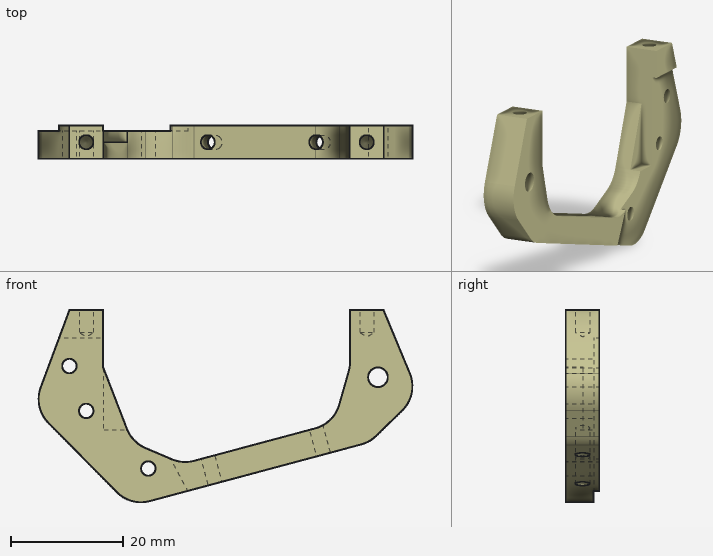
import cadquery as cq
import math


thickness = 6.0
mid_y = thickness / 2
arm_pitch = 50.0
arm_width = 6.0
arm_inner_x = (arm_pitch - arm_width) / 2
arm_outer_x = (arm_pitch + arm_width) / 2
corner_radius = 6.0
bar_angle = 15.0
bar_slope = math.tan(math.radians(bar_angle))

bend_z = -10.1
left_elbow = (-34.45, -17.4)
bottom_corner = (-17.05, -35.0)
lower_right_x = 25.5
lower_right_corner = (lower_right_x, bottom_corner[1] + bar_slope * (lower_right_x - bottom_corner[0]))
right_elbow = (34.25, -15.05)
right_bend = (arm_inner_x, bend_z)
inner_right_corner = (19.1, -20.2)
inner_bottom_x = -7.8
inner_bottom_corner = (
    inner_bottom_x,
    inner_right_corner[1] - bar_slope * (inner_right_corner[0] - inner_bottom_x),
)
inner_left_corner = (-16.8, -23.6)
left_bend = (-arm_inner_x, bend_z)

recess_depth = 1.0
recess_top_z = -5.0
step_upper_end = (-9.9, -26.6)
step_lower_end = (-6.9, -32.25)

notch_floor_z = -21.3

screw_diameter = 2.5
screw_depth = 4.0
drill_point_angle = 118.0
plate_holes = [(-28.0, -10.0), (-25.0, -18.0), (-13.9, -28.25)]
pivot_diameter = 3.45
pivot_center = (27.0, -12.0)
bar_hole_start_x = -3.3
bar_hole_spacing = 20.0

margin = 6.65


def extrude_outline(points, y_start, y_end):
    """Solid with an (x, z) outline, reaching from y_start to y_end."""
    plane = cq.Plane(origin=(0, y_start, 0), xDir=(1, 0, 0), normal=(0, -1, 0))
    return cq.Workplane(plane).polyline(points).close().extrude(y_start - y_end)


def rounded(body, corner):
    """Round the front-to-back edge that stands on an (x, z) corner."""
    point = (corner[0], mid_y, corner[1])
    return body.edges(cq.selectors.NearestToPointSelector(point)).fillet(corner_radius)


def make_plate():
    outline = [
        (-arm_outer_x, 0),
        left_elbow,
        bottom_corner,
        lower_right_corner,
        right_elbow,
        (arm_outer_x, 0),
        (arm_inner_x, 0),
        right_bend,
        inner_right_corner,
        inner_bottom_corner,
        inner_left_corner,
        left_bend,
        (-arm_inner_x, 0),
    ]
    plate = extrude_outline(outline, 0, thickness)
    rounded_corners = [
        left_elbow,
        bottom_corner,
        lower_right_corner,
        right_elbow,
        right_bend,
        inner_right_corner,
        inner_bottom_corner,
        inner_left_corner,
    ]
    for corner in rounded_corners:
        plate = rounded(plate, corner)
    return plate


def make_recess():
    """Shallow cut over the back of the left arm, from below its top to the bar step."""
    left_x = left_elbow[0] - margin
    bottom_z = bottom_corner[1] - margin
    step_lean = (step_lower_end[0] - step_upper_end[0]) / (step_upper_end[1] - step_lower_end[1])

    def step_x(z):
        return step_upper_end[0] + step_lean * (step_upper_end[1] - z)

    outline = [
        (left_x, recess_top_z),
        (step_x(recess_top_z), recess_top_z),
        (step_x(bottom_z), bottom_z),
        (left_x, bottom_z),
    ]
    return extrude_outline(outline, thickness - recess_depth, thickness + margin)


def make_notch():
    """Carries the vertical inner wall of the left arm down to a flat floor, in the back half."""
    outline = [
        (-arm_inner_x, bend_z),
        (inner_left_corner[0], bend_z),
        (inner_left_corner[0], notch_floor_z),
        (-arm_inner_x, notch_floor_z),
    ]
    return extrude_outline(outline, mid_y, thickness + margin)


def make_cross_hole(center, diameter):
    """Drill running front to back through an (x, z) center."""
    x, z = center
    start = cq.Vector(x, -margin, z)
    return cq.Solid.makeCylinder(diameter / 2, thickness + 2 * margin, start, cq.Vector(0, 1, 0))


def make_arm_screw_hole(x):
    """Blind hole with a drill-point bottom, going down from an arm top."""
    radius = screw_diameter / 2
    point_length = radius / math.tan(math.radians(drill_point_angle / 2))
    profile = [(0, 0), (radius, 0), (radius, -screw_depth), (0, -screw_depth - point_length)]
    hole = cq.Workplane("XZ").polyline(profile).close().revolve(360, (0, 0), (0, 1))
    return hole.translate((x, mid_y, 0))


def make_bar_hole(distance):
    """Through hole square to the sloping bar, a distance along it from the first hole."""
    angle = math.radians(bar_angle)
    x = bar_hole_start_x + distance * math.cos(angle)
    z = inner_right_corner[1] - bar_slope * (inner_right_corner[0] - x)
    down = cq.Vector(math.sin(angle), 0, -math.cos(angle))
    start = cq.Vector(x, mid_y, z) - down * margin
    return cq.Solid.makeCylinder(screw_diameter / 2, 2 * margin, start, down)


result = make_plate().cut(make_recess()).cut(make_notch())
for hole_center in plate_holes:
    result = result.cut(make_cross_hole(hole_center, screw_diameter))
result = result.cut(make_cross_hole(pivot_center, pivot_diameter))
for side in (-1, 1):
    result = result.cut(make_arm_screw_hole(side * arm_pitch / 2))
for hole_distance in (0, bar_hole_spacing):
    result = result.cut(make_bar_hole(hole_distance))